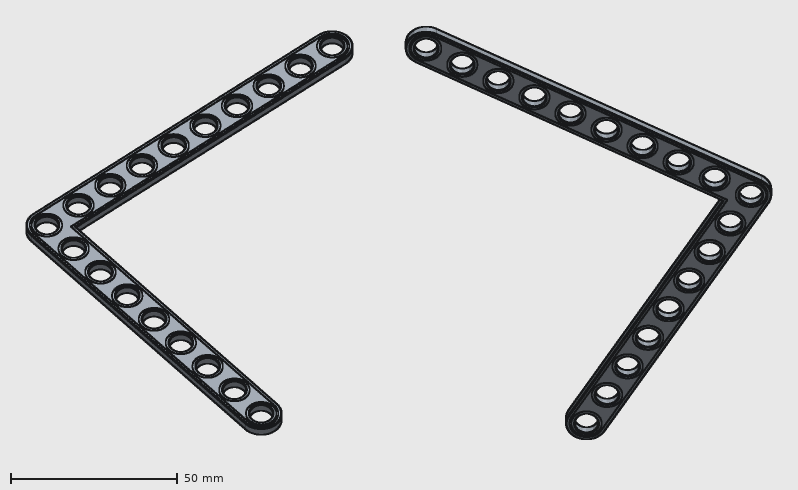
import cadquery as cq

pitch = 12.5
holes_along_x = 9
holes_along_y = 10
thickness = 3.1
hole_diameter = 7.0
edge_chamfer = 0.3
rim_width = 1.1
recess_depth = 0.2

arm_width = pitch
collar_diameter = hole_diameter + 2 * rim_width
top_z = thickness / 2

corner_x = -(holes_along_x - 1) * pitch / 2
corner_y = -(holes_along_y - 1) * pitch / 2

hole_centres = [(corner_x + i * pitch, corner_y) for i in range(holes_along_x)]
hole_centres += [(corner_x, corner_y + i * pitch) for i in range(1, holes_along_y)]


def arm(hole_count, width, height, angle):
    """Round-ended bar from the corner hole to the last hole of one arm."""
    span = (hole_count - 1) * pitch
    return (
        cq.Workplane("XY")
        .center(span / 2, 0)
        .slot2D(span + width, width)
        .extrude(height / 2, both=True)
        .rotate((0, 0, 0), (0, 0, 1), angle)
        .translate((corner_x, corner_y, 0))
    )


def brace(width, height):
    """Two perpendicular arms joined at the corner hole, centred on Z = 0."""
    along_x = arm(holes_along_x, width, height, 0)
    along_y = arm(holes_along_y, width, height, 90)
    return along_x.union(along_y).clean()


def top_recess():
    """Shallow pocket that leaves a rim along the outline and a collar around every hole."""
    pocket = brace(arm_width - 2 * rim_width, recess_depth)
    collars = (
        cq.Workplane("XY")
        .pushPoints(hole_centres)
        .circle(collar_diameter / 2)
        .extrude(recess_depth, both=True)
    )
    return pocket.cut(collars).translate((0, 0, top_z - recess_depth / 2))


plate = (
    brace(arm_width, thickness)
    .faces(">Z")
    .workplane(origin=(0, 0, 0))
    .pushPoints(hole_centres)
    .hole(hole_diameter)
    .faces("|Z")
    .chamfer(edge_chamfer)
)

recess = top_recess()
result = plate.cut(recess).cut(recess.mirror("XY"))